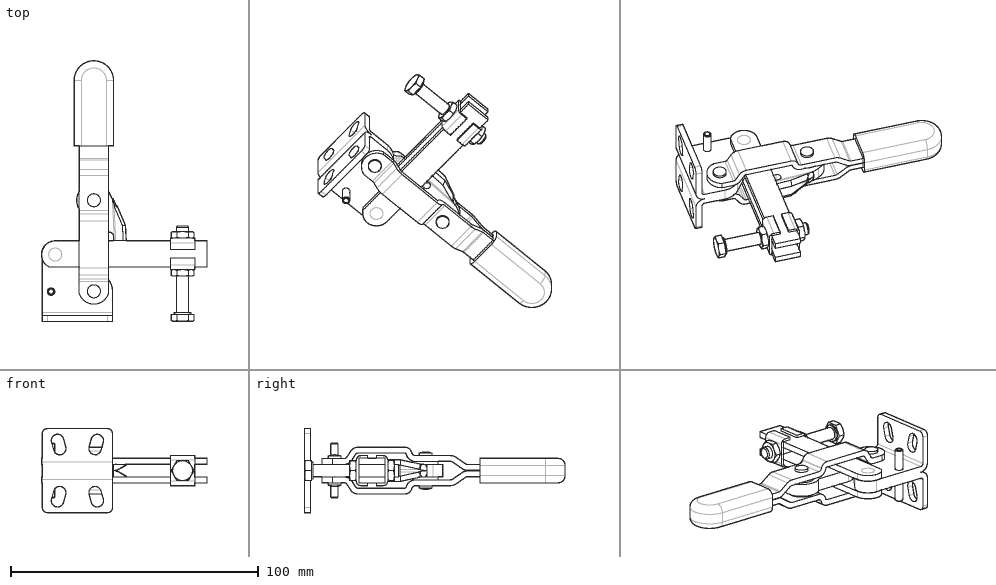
import cadquery as cq
import math


sheet = 2.5
sheet_bend = 1.1
rivet_diameter = 4.1
arm_pin_diameter = 5.3

handle_pivot = (0, 12.2)
link_pivot = (0, 49.0)
arm_pivot = (-15.6, 27.1)

base_left = -20.8
base_width = 28.4
base_middle = base_left + base_width / 2
flange_height = 34.0
flange_corner = 2.1
arm_corner = arm_pivot[0] - base_left
handle_corner = base_left + base_width - handle_pivot[0]
slot_diameter = 5.0
slot_pitch = 3.4
slot_tilt = 15
slot_offset_x = 7.6
slot_offset_z = 10.5

stop_pin_place = (-17.3, 12.1)
stop_pin_diameter = 3.1
stop_pin_bore = 2.0
stop_pin_length = 22.1
stop_pin_chamfer = 0.3

strap = 2.4
strap_gap = 0.2
handle_width = 11.9
handle_bottom = 7.1
handle_end_radius = 6.2
handle_top = 97.3
bow_face = 7.1
bow_start, bow_low = 18.1, 21.1
bow_high, bow_end = 41.0, 41.9
neck_start, neck_end = 59.5, 64.6
bow_bends = (0.5, 1.5)
neck_bend = 1.6
link_boss_face = 3.7
rivet_head_diameter = 5.3
rivet_head_side = 1.0
rivet_head_dome = 0.5
grip_width = 16.0
grip_thickness = 10.0
grip_fillet = 3.0
grip_bottom = 70.9
grip_top = 105.3

link_eye_radius = 7.0
link_boss_diameter = 10.0
leg_width = 9.9
leg_pivot_y = 28.4
wing_bend_x = 8.3
wing_bend_tilt = 3
wing_angle = 30
wing_length = 3.5
wing_slope = 64
notch_right = 7.9
notch_top = 36.0

arm_right = 45.7
arm_bottom = 22.0
arm_end_radius = 5.6
arm_top = arm_pivot[1] + arm_end_radius

spindle_x = 35.8
spindle_diameter = 5.0
spindle_top = 38.6
spindle_tip_diameter = 4.1
spindle_tip = 0.6
hex_flats = 8.0
head_bottom = 0.1
head_height = 2.8
head_collar_diameter = 6.8
head_collar = 0.6
nut_height = 2.6
hex_chamfer = 0.3
saddle_width = 9.9
saddle_thickness = 1.1
saddle_reach = 4.6
saddle_corner = 1.9


def z_cylinder(place, diameter, bottom, top):
    """Cylinder along Z between two heights."""
    return cq.Workplane("XY", origin=(*place, bottom)).circle(diameter / 2).extrude(top - bottom)


def y_workplane(x, y):
    """Workplane across +Y, with its own X along +X, centred on the mirror plane."""
    return cq.Workplane(cq.Plane(origin=(x, y, 0), xDir=(1, 0, 0), normal=(0, 1, 0)))


def both_halves(upper):
    """The upper half joined to its mirror image, keeping the outlines of flush faces."""
    return upper.union(upper.mirror("XY"), clean=False)


def parallel_path(path, distance):
    """Mitred path at the given distance to the left of an open (Y, Z) path."""
    angles = [math.atan2(b[1] - a[1], b[0] - a[0]) for a, b in zip(path, path[1:])]
    before = [angles[0]] + angles
    after = angles + [angles[-1]]
    points = []
    for (y, z), a1, a2 in zip(path, before, after):
        normal = (a1 + a2) / 2 + math.pi / 2
        miter = distance / math.cos((a2 - a1) / 2)
        points.append((y + miter * math.cos(normal), z + miter * math.sin(normal)))
    return points


def bent_sheet(path, bend_radii, thickness, x_left, width):
    """Sheet on the left side of a (Y, Z) path, each bend rounded from its tight side radius."""
    other = parallel_path(path, thickness)
    body = cq.Workplane("YZ", origin=(x_left, 0, 0)).polyline(path + other[::-1]).close().extrude(width)
    for i, bend_radius in enumerate(bend_radii, start=1):
        (y0, z0), (y1, z1), (y2, z2) = path[i - 1:i + 2]
        turns_left = (y1 - y0) * (z2 - z1) - (z1 - z0) * (y2 - y1) > 0
        tight, wide = (other[i], path[i]) if turns_left else (path[i], other[i])
        for (y, z), radius in ((tight, bend_radius), (wide, bend_radius + thickness)):
            corner = cq.NearestToPointSelector((x_left + width / 2, y, z))
            body = body.edges("|X").edges(corner).fillet(radius)
    return body


def tangent_angle(start, start_radius, end, end_radius):
    """Direction in which the upper line that touches two circles faces, in radians."""
    dx, dy = end[0] - start[0], end[1] - start[1]
    return math.atan2(dy, dx) + math.acos((start_radius - end_radius) / math.hypot(dx, dy))


def on_circle(center, radius, angle):
    """Point of a circle at an angle in radians."""
    return center[0] + radius * math.cos(angle), center[1] + radius * math.sin(angle)


def base_profile():
    """Outline of the upright plates, rounded about both pivots, as a block over the whole height."""
    right = base_left + base_width
    facing = tangent_angle(arm_pivot, arm_corner, handle_pivot, handle_corner)
    return (
        cq.Workplane("XY", origin=(0, 0, -flange_height / 2))
        .moveTo(base_left, 0)
        .lineTo(base_left, arm_pivot[1])
        .threePointArc(
            on_circle(arm_pivot, arm_corner, (math.pi + facing) / 2),
            on_circle(arm_pivot, arm_corner, facing),
        )
        .lineTo(*on_circle(handle_pivot, handle_corner, facing))
        .threePointArc(
            on_circle(handle_pivot, handle_corner, facing / 2),
            (right, handle_pivot[1]),
        )
        .lineTo(right, 0)
        .close()
        .extrude(flange_height)
    )


def make_base():
    """Two angle plates back to back, with slotted flanges."""
    plate_top = arm_pivot[1] + arm_corner
    path = [(0, flange_height / 2), (0, 0), (plate_top, 0)]
    angle = bent_sheet(path, [sheet_bend], sheet, base_left, base_width)
    angle = angle.edges("|Y and >Z").fillet(flange_corner)
    for side in (-1, 1):
        slot = (
            y_workplane(base_middle + side * slot_offset_x, 0)
            .center(0, -slot_offset_z)
            .slot2D(slot_pitch + slot_diameter, slot_diameter, 90 + side * slot_tilt)
            .extrude(sheet)
        )
        angle = angle.cut(slot)
    body = both_halves(angle.intersect(base_profile()))
    for place, diameter in (
        (handle_pivot, rivet_diameter),
        (arm_pivot, arm_pin_diameter),
        (stop_pin_place, stop_pin_diameter),
    ):
        body = body.cut(z_cylinder(place, diameter, -sheet, sheet))
    return body


def make_stop_pin():
    """Tubular pin through the base, chamfered at both ends."""
    half = stop_pin_length / 2
    pin = z_cylinder(stop_pin_place, stop_pin_diameter, -half, half)
    pin = pin.faces("<Z or >Z").chamfer(stop_pin_chamfer)
    return pin.cut(z_cylinder(stop_pin_place, stop_pin_bore, -half, half))


def rivet_half(place, head_seat):
    """Upper half of a rivet: shank, round head and shallow dome."""
    radius = rivet_head_diameter / 2
    side_top = head_seat + rivet_head_side
    dome_radius = (radius ** 2 + rivet_head_dome ** 2) / (2 * rivet_head_dome)
    dome_top = side_top + rivet_head_dome
    head = z_cylinder(place, rivet_head_diameter, head_seat, dome_top)
    ball = cq.Workplane("XY", origin=(*place, dome_top - dome_radius)).sphere(dome_radius)
    return z_cylinder(place, rivet_diameter, 0, head_seat).union(head.intersect(ball))


def make_handle():
    """Two bent straps, joined by the rivets through the base and the link."""
    path = [
        (handle_bottom, sheet),
        (bow_start, sheet),
        (bow_low, bow_face),
        (bow_high, bow_face),
        (bow_end, link_boss_face),
        (neck_start, link_boss_face),
        (neck_end, strap_gap / 2),
        (handle_top, strap_gap / 2),
    ]
    bend_radii = [sheet_bend, sheet_bend, *bow_bends, neck_bend, sheet_bend]
    half = bent_sheet(path, bend_radii, strap, -handle_width / 2, handle_width)
    end_center = handle_bottom + handle_end_radius
    shoulder = end_center - math.sqrt(handle_end_radius ** 2 - (handle_width / 2) ** 2)
    outline = (
        cq.Workplane("XY")
        .moveTo(-handle_width / 2, handle_top)
        .lineTo(-handle_width / 2, shoulder)
        .threePointArc((0, handle_bottom), (handle_width / 2, shoulder))
        .lineTo(handle_width / 2, handle_top)
        .close()
        .extrude(bow_face + strap)
    )
    half = half.intersect(outline)
    half = half.union(rivet_half(handle_pivot, sheet + strap))
    half = half.union(rivet_half(link_pivot, link_boss_face + strap))
    return both_halves(half)


def make_grip():
    """Rounded sleeve with a pocket for the ends of both straps."""
    end_radius = grip_width / 2
    grip = (
        cq.Workplane("XY", origin=(0, 0, -grip_thickness / 2))
        .moveTo(-end_radius, grip_bottom)
        .lineTo(-end_radius, grip_top - end_radius)
        .threePointArc((0, grip_top), (end_radius, grip_top - end_radius))
        .lineTo(end_radius, grip_bottom)
        .close()
        .extrude(grip_thickness)
    )
    grip = grip.edges("(>Z or <Z) and (not <Y)").fillet(grip_fillet)
    pocket = cq.Workplane("XY").box(
        handle_width, handle_top - grip_bottom, 2 * strap + strap_gap, centered=(True, False, True)
    ).translate((0, grip_bottom, 0))
    return grip.cut(pocket)


def bend_line():
    """Length of the bend line, from the arm up to the slanted edge."""
    slope, tilt = math.radians(wing_slope), math.radians(wing_bend_tilt)
    dx, dy = wing_bend_x - link_pivot[0], arm_top - link_pivot[1]
    gap = link_eye_radius - dx * math.sin(slope) - dy * math.cos(slope)
    return gap / math.cos(slope + tilt)


def link_sheet():
    """Flat upper sheet of the link: eye, leg, notch and the slanted shoulder up to the wing bend."""
    eye_x, eye_y = link_pivot
    slope, tilt = math.radians(wing_slope), math.radians(wing_bend_tilt)
    touch_x = link_eye_radius * math.sin(slope)
    touch_y = eye_y + link_eye_radius * math.cos(slope)
    leg = leg_width / 2
    notch_radius = (notch_right - leg) / 2
    notch_center = notch_top - notch_radius
    leg_joint = eye_y - math.sqrt(link_eye_radius ** 2 - leg ** 2)
    return (
        cq.Workplane("XY")
        .moveTo(-leg, leg_joint)
        .lineTo(-leg, leg_pivot_y)
        .threePointArc((0, leg_pivot_y - leg), (leg, leg_pivot_y))
        .lineTo(leg, notch_center)
        .threePointArc((leg + notch_radius, notch_top), (notch_right, notch_center))
        .lineTo(notch_right, arm_top)
        .lineTo(wing_bend_x, arm_top)
        .lineTo(wing_bend_x - bend_line() * math.sin(tilt), arm_top + bend_line() * math.cos(tilt))
        .lineTo(eye_x + touch_x, touch_y)
        .threePointArc((eye_x - touch_x, touch_y), (-leg, leg_joint))
        .close()
        .extrude(sheet)
    )


def link_wing():
    """Bend and flared wing of the upper sheet, standing on the arm.

    Made with the bend along Y through the origin, then tilted into place.
    """
    axis_z = sheet + sheet_bend
    drop = math.tan(math.radians(wing_slope + wing_bend_tilt))
    bend_length = (sheet_bend + sheet / 2) * math.radians(wing_angle)
    top = bend_line()
    shoulder = top - drop * bend_length

    def swing(flat, angle):
        """Turn a flat piece up around the bend axis."""
        return flat.rotate((0, 0, axis_z), (0, -1, axis_z), angle)

    foot = -1.1
    bend = (
        cq.Workplane("YZ")
        .polyline([(foot, 0), (top, 0), (top, sheet), (foot, sheet)])
        .close()
        .revolve(wing_angle, (0, axis_z), (-1, axis_z))
    )
    above_bend = (
        cq.Workplane("XY", origin=(0, (top + shoulder) / 2, -sheet))
        .polyline([(-sheet, drop * sheet), (sheet, -drop * sheet), (sheet, drop * sheet)])
        .close()
        .extrude(3 * sheet)
    )
    bend = bend.cut(swing(above_bend, wing_angle / 2))
    wing = (
        cq.Workplane("XY")
        .polyline([
            (0, foot),
            (wing_length, foot),
            (wing_length, shoulder - drop * wing_length),
            (0, shoulder),
        ])
        .close()
        .extrude(sheet)
    )
    body = bend.union(swing(wing, wing_angle))
    body = body.rotate((0, 0, 0), (0, 0, 1), wing_bend_tilt).translate((wing_bend_x, arm_top, 0))
    trim = 2 * (wing_length + sheet)
    arm_space = cq.Workplane("XY", origin=(wing_bend_x, arm_top - trim / 2, 0)).rect(2 * trim, trim)
    return body.cut(arm_space.extrude(trim))


def make_link():
    """Two sheets back to back, with a boss around the link pivot."""
    half = link_sheet().union(link_wing())
    half = half.union(z_cylinder(link_pivot, link_boss_diameter, 0, link_boss_face))
    return both_halves(half).cut(z_cylinder(link_pivot, rivet_diameter, -link_boss_face, link_boss_face))


def make_arm():
    """Two bars outside the base, joined by the arm pin."""
    x, y = arm_pivot
    lower_x = x - math.sqrt(arm_end_radius ** 2 - (y - arm_bottom) ** 2)
    bar = (
        cq.Workplane("XY", origin=(0, 0, sheet))
        .moveTo(lower_x, arm_bottom)
        .lineTo(arm_right, arm_bottom)
        .lineTo(arm_right, arm_top)
        .lineTo(x, arm_top)
        .threePointArc((x - arm_end_radius, y), (lower_x, arm_bottom))
        .close()
        .extrude(sheet)
    )
    pin = z_cylinder(arm_pivot, arm_pin_diameter, 0, 2 * sheet)
    return both_halves(bar.union(pin, clean=False))


def spindle_rod(diameter, bottom, top):
    """Cylinder along the spindle."""
    return y_workplane(spindle_x, bottom).circle(diameter / 2).extrude(top - bottom)


def hexagon(bottom, height, chamfered_ends):
    """Hexagon with its corners turned down to the flats at the chosen ends."""
    corners = hex_flats / math.cos(math.radians(30))
    turned = spindle_rod(corners, bottom, bottom + height)
    turned = turned.faces(chamfered_ends).chamfer(hex_chamfer, (corners - hex_flats) / 2)
    return y_workplane(spindle_x, bottom).polygon(6, corners).extrude(height).intersect(turned)


def saddle(web_outer, inward):
    """Channel that straddles both bars, its legs pointing up (inward 1) or down (inward -1)."""
    half = 2 * sheet + saddle_thickness
    block = y_workplane(spindle_x, web_outer).rect(saddle_width, 2 * half).extrude(inward * saddle_reach)
    outer = ">Y" if inward < 0 else "<Y"
    block = block.edges(f"|X and {outer}").fillet(saddle_corner)
    inside = y_workplane(spindle_x, web_outer + inward * saddle_thickness)
    return block.cut(inside.rect(saddle_width, 4 * sheet).extrude(inward * saddle_reach))


def make_spindle():
    """Bolt held on the arm by two nuts and two saddles."""
    rod = spindle_rod(spindle_diameter, head_bottom, spindle_top)
    rod = rod.faces(">Y").chamfer(spindle_tip, (spindle_diameter - spindle_tip_diameter) / 2)
    head_top = head_bottom + head_height
    upper = arm_top + saddle_thickness
    lower = arm_bottom - saddle_thickness
    parts = [
        hexagon(head_bottom, head_height, "<Y"),
        spindle_rod(head_collar_diameter, head_top, head_top + head_collar),
        hexagon(upper, nut_height, "<Y or >Y"),
        hexagon(lower - nut_height, nut_height, "<Y or >Y"),
        saddle(upper, -1),
        saddle(lower, 1),
    ]
    for part in parts:
        rod = rod.union(part)
    return rod


base = make_base()
stop_pin = make_stop_pin()
handle = make_handle()
grip = make_grip()
link = make_link()
arm = make_arm()
spindle = make_spindle()

result = cq.Compound.makeCompound(
    [base.val(), stop_pin.val(), handle.val(), grip.val(), link.val(), arm.val(), spindle.val()]
)